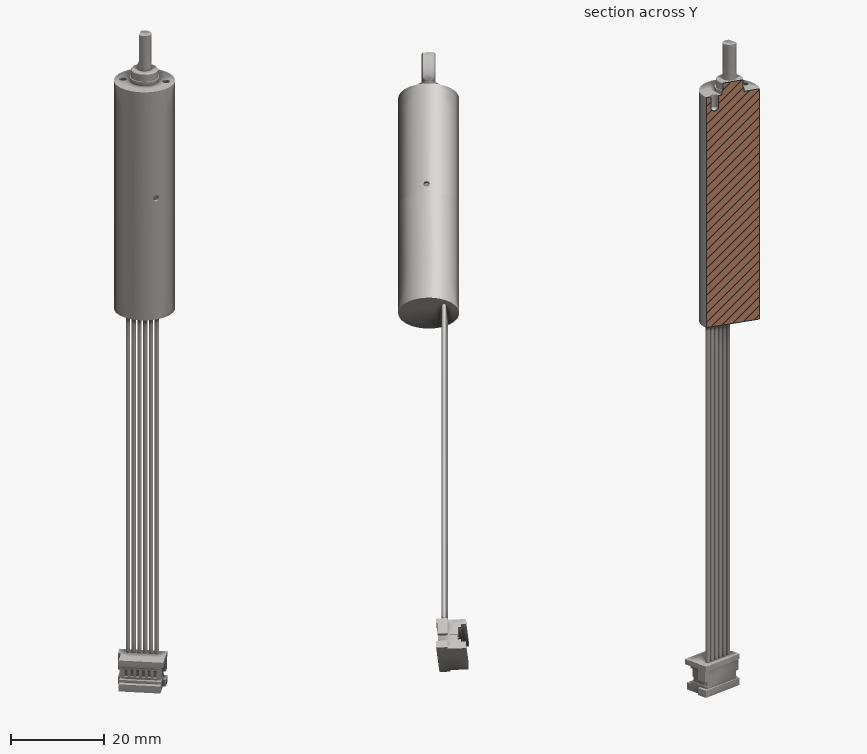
import cadquery as cq
import math

clocking = 22.5

overall_length = 150.1

body_diameter = 13.0
gearbox_length = 26.9
motor_length = 17.9
cap_length = 8.4
motor_top = -gearbox_length
cap_top = motor_top - motor_length
body_bottom = cap_top - cap_length

shaft_diameter = 3.0
shaft_top = 11.0
flat_distance = 1.0
flat_length = 6.3
runout_slope = 2.0
collar_diameter = 6.3
collar_height = 0.9
boss_diameter = 5.9
boss_height = 2.7
boss_chamfer = 0.2

screw_hole_diameter = 1.7
screw_hole_depth = 3.0
screw_hole_tip_angle = 118
screw_hole_radius = 4.7
side_hole_diameter = 1.4
side_hole_depth = 0.8
side_hole_count = 3
side_hole_above_motor = 2.0

wire_count = 6
wire_pitch = 1.25
wire_diameter = 0.9
wire_length = 78.8
wire_row_y = -3.5

plug_top = body_bottom - wire_length
plug_height = overall_length - shaft_top + plug_top
plug_back_y = -2.0
plug_front_y = -8.3
plug_half_width = 4.5
ear_reach = 0.68
ear_half_width = plug_half_width + ear_reach
ear_front_y = -4.4
plate_thickness = 1.2
plate_overhang = 0.6
ledge_front_y = -7.2
plate_ledge_height = 0.8
flange_ledge_height = 0.6
core_back_y = -2.3
core_front_y = -6.6
core_ear_height = 2.5
lower_core_half_width = 4.4
lower_core_front_y = -6.5
flange_thickness = 1.7
window_width = 0.68
window_height = 1.8
window_depth = 0.9
window_above_flange = 1.0


def clocked(shape):
    """Turn a shape from the local frame to its place about the motor axis."""
    return shape.rotate((0, 0, 0), (0, 0, 1), clocking)


def cylinder(diameter, bottom, top):
    return cq.Workplane("XY").workplane(offset=bottom).circle(diameter / 2).extrude(top - bottom)


def box(x_range, y_range, z_range):
    """A box given by its two limits along each axis."""
    sizes = [high - low for low, high in (x_range, y_range, z_range)]
    corner = (x_range[0], y_range[0], z_range[0])
    return cq.Workplane("XY").box(*sizes, centered=False).translate(corner)


def make_shaft():
    """Round shaft whose flat faces local -X and ends in a sloping runout."""
    shaft = cylinder(shaft_diameter, 0, shaft_top)
    flat_bottom = shaft_top - flat_length
    reach = shaft_diameter
    flat_cut = (
        cq.Workplane("XZ")
        .moveTo(-flat_distance, shaft_top)
        .lineTo(-flat_distance, flat_bottom)
        .lineTo(-flat_distance - reach, flat_bottom - reach * runout_slope)
        .lineTo(-flat_distance - reach, shaft_top)
        .close()
        .extrude(reach, both=True)
    )
    return shaft.cut(flat_cut)


def make_screw_hole():
    """Blind drilled hole with a conical tip, opening upwards at the origin."""
    radius = screw_hole_diameter / 2
    tip_length = radius / math.tan(math.radians(screw_hole_tip_angle / 2))
    return (
        cq.Workplane("XZ")
        .lineTo(radius, 0)
        .lineTo(radius, -screw_hole_depth)
        .lineTo(0, -screw_hole_depth - tip_length)
        .close()
        .revolve(360, (0, 0, 0), (0, 1, 0))
    )


def make_gearbox():
    gearbox = cylinder(body_diameter, motor_top, 0)
    for side in (-1, 1):
        hole = make_screw_hole()
        gearbox = gearbox.cut(hole.translate((side * screw_hole_radius, 0, 0)))
    for index in range(side_hole_count):
        hole = (
            cq.Workplane("YZ")
            .workplane(offset=-body_diameter / 2)
            .center(0, motor_top + side_hole_above_motor)
            .circle(side_hole_diameter / 2)
            .extrude(side_hole_depth)
        )
        gearbox = gearbox.cut(hole.rotate((0, 0, 0), (0, 0, 1), index * 360 / side_hole_count))
    collar = cylinder(collar_diameter, 0, collar_height)
    boss = cylinder(boss_diameter, 0, boss_height).faces(">Z").chamfer(boss_chamfer)
    return gearbox.union(collar).union(boss)


def make_gearmotor():
    """One solid; the joint lines between its flush sections are kept as edges."""
    motor = cylinder(body_diameter, cap_top, motor_top)
    cap = cylinder(body_diameter, body_bottom, cap_top)
    upper = make_gearbox().union(make_shaft())
    motor = motor.rotate((0, 0, 0), (0, 0, 1), -clocking)
    return clocked(upper.union(motor, clean=False).union(cap, clean=False))


def wire_positions():
    middle = (wire_count - 1) / 2
    return [(index - middle) * wire_pitch for index in range(wire_count)]


def make_wire(x):
    wire = cylinder(wire_diameter, plug_top, body_bottom)
    return clocked(wire.translate((x, wire_row_y, 0)))


def make_plug():
    plug_bottom = plug_top - plug_height
    plate_bottom = plug_top - plate_thickness
    flange_top = plug_bottom + flange_thickness
    width = (-plug_half_width, plug_half_width)
    ear_width = (-ear_half_width, ear_half_width)
    plate_width = (-plug_half_width, plug_half_width + plate_overhang)
    ear_depth = (ear_front_y, plug_back_y)

    plate = box(plate_width, (plug_front_y, ear_front_y), (plate_bottom, plug_top))
    plate = plate.union(box(ear_width, ear_depth, (plate_bottom, plug_top)))
    flange = box(width, (plug_front_y, plug_back_y), (plug_bottom, flange_top))
    flange = flange.union(box(ear_width, ear_depth, (plug_bottom, flange_top)))

    plate_ledge_bottom = plate_bottom - plate_ledge_height
    flange_ledge_top = flange_top + flange_ledge_height
    ledge_depth = (ledge_front_y, core_back_y)
    plate_ledge = box(width, ledge_depth, (plate_ledge_bottom, plate_bottom))
    flange_ledge = box(width, ledge_depth, (flange_top, flange_ledge_top))

    core_step = plate_bottom - core_ear_height
    lower_width = (-lower_core_half_width, lower_core_half_width)
    core = box(width, (core_front_y, core_back_y), (core_step, plate_bottom))
    core_ears = box(ear_width, (ear_front_y, core_back_y), (core_step, plate_bottom))
    lower_core = box(lower_width, (lower_core_front_y, core_back_y), (flange_top, core_step))
    plug = core.union(core_ears).union(lower_core)
    plug = plug.union(plate_ledge).union(flange_ledge).union(plate).union(flange)

    window_bottom = flange_top + window_above_flange
    for x in wire_positions():
        window = box(
            (x - window_width / 2, x + window_width / 2),
            (core_front_y, core_front_y + window_depth),
            (window_bottom, window_bottom + window_height),
        )
        plug = plug.cut(window)
    return clocked(plug)


gearmotor = make_gearmotor()
plug = make_plug()
wires = [make_wire(x) for x in wire_positions()]

result = cq.Compound.makeCompound([gearmotor.val(), plug.val(), *[wire.val() for wire in wires]])